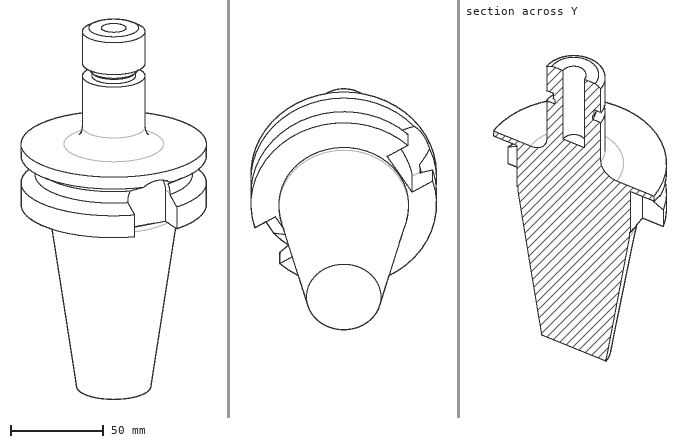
import cadquery as cq
import math

total_height = 206.8

taper_ratio = 7 / 24
gauge_radius = 35.0
taper_height = 101.7
gauge_band_height = 3.0
taper_small_radius = gauge_radius - taper_height * taper_ratio / 2

flange_radius = 50.0
flange_height = 35.0
lower_land_height = 12.6
groove_floor_height = 6.6
groove_radius = 42.4
groove_side_angle = 30.0
flange_bottom = taper_height + gauge_band_height
flange_top = flange_bottom + flange_height
groove_side_height = (flange_radius - groove_radius) * math.tan(math.radians(groove_side_angle))

slot_width = 25.6
slot_height = 30.8
slot_floor_distance = 35.4

neck_radius = 17.0
neck_height = 39.3
neck_fillet = 10.0
neck_top = flange_top + neck_height

undercut_radius = 11.8
undercut_height = 2.5
collar_radius = 12.8
collar_height = 3.7
collar_chamfer = collar_radius - undercut_radius
collar_bottom = neck_top + undercut_height + collar_chamfer
nut_bottom = collar_bottom + collar_height

nut_radius = neck_radius
nut_chamfer_height = 2.0
nut_face_radius = 13.5
bore_radius = 6.6
bore_depth = 51.7


def make_body():
    """Revolve the half profile of the whole holder about Z."""
    lower_land_top = flange_bottom + lower_land_height
    groove_bottom = lower_land_top + groove_side_height
    groove_top = groove_bottom + groove_floor_height
    upper_land_bottom = groove_top + groove_side_height
    fillet_reach = neck_fillet * (1 - math.sqrt(0.5))

    profile = (
        cq.Workplane("XZ")
        .moveTo(0, 0)
        .lineTo(taper_small_radius, 0)
        .lineTo(gauge_radius, taper_height)
        .lineTo(gauge_radius, flange_bottom)
        .lineTo(flange_radius, flange_bottom)
        .lineTo(flange_radius, lower_land_top)
        .lineTo(groove_radius, groove_bottom)
        .lineTo(groove_radius, groove_top)
        .lineTo(flange_radius, upper_land_bottom)
        .lineTo(flange_radius, flange_top)
        .lineTo(neck_radius + neck_fillet, flange_top)
        .threePointArc(
            (neck_radius + fillet_reach, flange_top + fillet_reach),
            (neck_radius, flange_top + neck_fillet),
        )
        .lineTo(neck_radius, neck_top)
        .lineTo(undercut_radius, neck_top)
        .lineTo(undercut_radius, neck_top + undercut_height)
        .lineTo(collar_radius, collar_bottom)
        .lineTo(collar_radius, nut_bottom)
        .lineTo(nut_radius, nut_bottom)
        .lineTo(nut_radius, total_height - nut_chamfer_height)
        .lineTo(nut_face_radius, total_height)
        .lineTo(0, total_height)
        .close()
    )
    return profile.revolve(360, (0, 0), (0, 1))


def make_drive_slot():
    """Round-topped cutter for the slot on the +X side, open at the flange underside."""
    half_width = slot_width / 2
    arch_start = flange_bottom + slot_height - half_width
    return (
        cq.Workplane("YZ", origin=(slot_floor_distance, 0, 0))
        .moveTo(-half_width, flange_bottom)
        .lineTo(half_width, flange_bottom)
        .lineTo(half_width, arch_start)
        .threePointArc((0, flange_bottom + slot_height), (-half_width, arch_start))
        .close()
        .extrude(flange_radius - slot_floor_distance)
    )


def make_bore():
    """Blind collet bore, cut down from the nut face."""
    return cq.Workplane("XY", origin=(0, 0, total_height - bore_depth)).circle(bore_radius).extrude(bore_depth)


result = make_body().cut(make_bore())
for side_angle in (0, 180):
    result = result.cut(make_drive_slot().rotate((0, 0, 0), (0, 0, 1), side_angle))